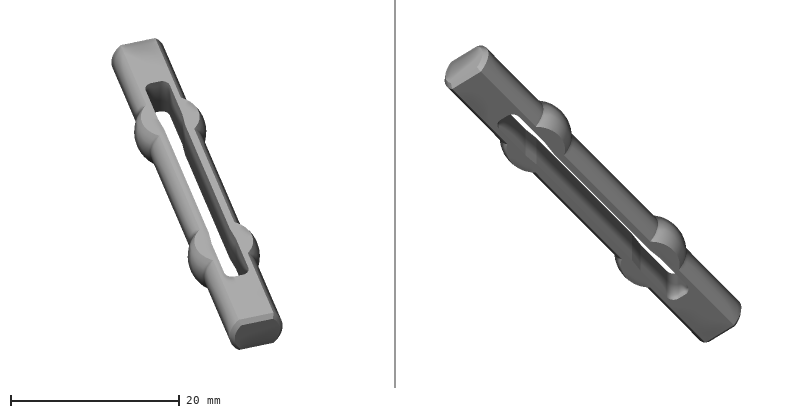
import cadquery as cq

ROD_LENGTH = 50.0
ROD_DIAMETER = 6.6
THICKNESS = 5.0
END_CHAMFER = 0.5

BALL_DIAMETER = 8.6
BALL_SPACING = 22.2

SLOT_LENGTH = 34.5
SLOT_WIDTH = 3.0
SLOT_CORNER_RADIUS = 1.0
WAIST_LENGTH = 18.5
WAIST_WIDTH = 2.6
TAPER_END = BALL_SPACING / 2


def make_round_rod():
    """Full round rod before the flats are cut."""
    return cq.Workplane("YZ").circle(ROD_DIAMETER / 2).extrude(ROD_LENGTH / 2, both=True)


def make_flat_sided(body):
    """Keep only the slab of the body between the two flats."""
    slab = cq.Workplane("XY").box(ROD_LENGTH, BALL_DIAMETER, THICKNESS)
    return body.intersect(slab)


def make_balls():
    """Two balls on the rod axis that bulge from both sides of the rod."""
    centres = [(-BALL_SPACING / 2, 0), (BALL_SPACING / 2, 0)]
    return cq.Workplane("XY").pushPoints(centres).sphere(BALL_DIAMETER / 2)


def make_slot():
    """Through slot with rounded corners whose sides taper in to a narrower waist."""
    upper_right = [
        (WAIST_LENGTH / 2, WAIST_WIDTH / 2),
        (TAPER_END, SLOT_WIDTH / 2),
        (SLOT_LENGTH / 2, SLOT_WIDTH / 2),
    ]
    lower_right = [(x, -y) for x, y in reversed(upper_right)]
    lower_left = [(-x, -y) for x, y in upper_right]
    upper_left = [(-x, y) for x, y in reversed(upper_right)]
    return (
        cq.Workplane("XY")
        .polyline(upper_right + lower_right + lower_left + upper_left)
        .close()
        .extrude(THICKNESS / 2, both=True)
        .edges("|Z and (<X or >X)")
        .fillet(SLOT_CORNER_RADIUS)
    )


rod = make_flat_sided(make_round_rod()).faces("<X or >X").chamfer(END_CHAMFER)
balls = make_flat_sided(make_balls())

result = rod.union(balls).cut(make_slot())